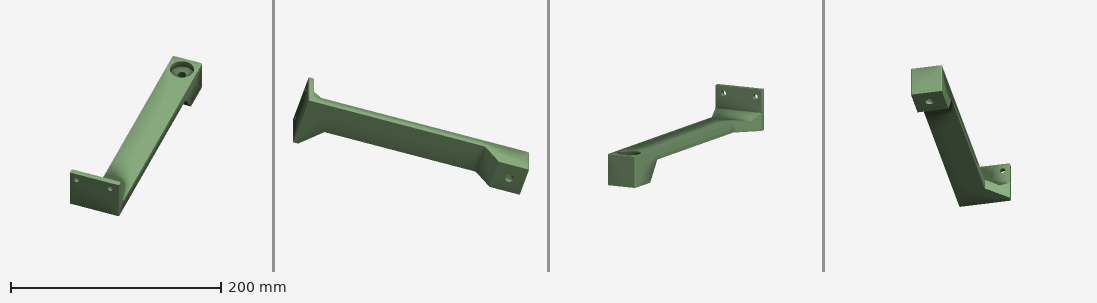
import cadquery as cq

total_length = 219.58
arm_width = 30.0
arm_thickness = 10.0

plate_width = 50.0
plate_height = 40.0
plate_thickness = 5.0
plate_hole_diameter = 5.2
plate_hole_spacing = 34.1
plate_hole_side_margin = 7.0
plate_hole_top_margin = 7.5

flare_length = plate_width - arm_width
gusset_leg = 7.5

foot_drop = 20.0
foot_bottom_length = 30.0
foot_top_length = 44.0

screw_hole_diameter = 8.2
counterbore_diameter = 23.0
counterbore_depth = 7.0
screw_hole_end_margin = arm_width / 2

corner_chamfer = 0.7

arm_left = plate_width - arm_width
arm_center_x = arm_left + arm_width / 2


def make_plate():
    """Upright plate with two mounting holes near its top edge."""
    plate = cq.Workplane("XY").box(plate_width, plate_thickness, plate_height, centered=False)
    hole_z = plate_height - plate_hole_top_margin
    for hole_x in (plate_hole_side_margin, plate_hole_side_margin + plate_hole_spacing):
        hole = (
            cq.Workplane("XZ", origin=(hole_x, 0, hole_z))
            .circle(plate_hole_diameter / 2)
            .extrude(-plate_thickness)
        )
        plate = plate.cut(hole)
    return plate


def make_arm():
    """Arm, gusset and foot: the side profile trimmed to the flared plan outline."""
    arm_top = arm_thickness
    side_profile = (
        cq.Workplane("YZ")
        .moveTo(plate_thickness, 0)
        .lineTo(plate_thickness, arm_top + gusset_leg)
        .lineTo(plate_thickness + gusset_leg, arm_top)
        .lineTo(total_length, arm_top)
        .lineTo(total_length, -foot_drop)
        .lineTo(total_length - foot_bottom_length, -foot_drop)
        .lineTo(total_length - foot_top_length, 0)
        .close()
        .extrude(plate_width)
    )
    plan_outline = (
        cq.Workplane("XY", origin=(0, 0, -foot_drop))
        .moveTo(0, plate_thickness)
        .lineTo(plate_width, plate_thickness)
        .lineTo(plate_width, total_length)
        .lineTo(arm_left, total_length)
        .lineTo(arm_left, plate_thickness + flare_length)
        .close()
        .extrude(foot_drop + plate_height)
    )
    return side_profile.intersect(plan_outline)


def drill_foot(body):
    """Counterbored hole from the arm's top face down through the foot."""
    hole_y = total_length - screw_hole_end_margin
    return (
        body.copyWorkplane(cq.Workplane("XY", origin=(arm_center_x, hole_y, arm_thickness)))
        .cboreHole(screw_hole_diameter, counterbore_diameter, counterbore_depth)
    )


def chamfer_corners(body):
    """Break the plate's front right edge and both rear vertical edges of the arm."""
    front_right = (plate_width, 0, plate_height / 2)
    rear_left = (arm_left, total_length, 0)
    rear_right = (plate_width, total_length, 0)
    for corner in (front_right, rear_left, rear_right):
        edge = cq.selectors.NearestToPointSelector(corner)
        body = body.edges("|Z").edges(edge).chamfer(corner_chamfer)
    return body


result = drill_foot(chamfer_corners(make_plate().union(make_arm())))